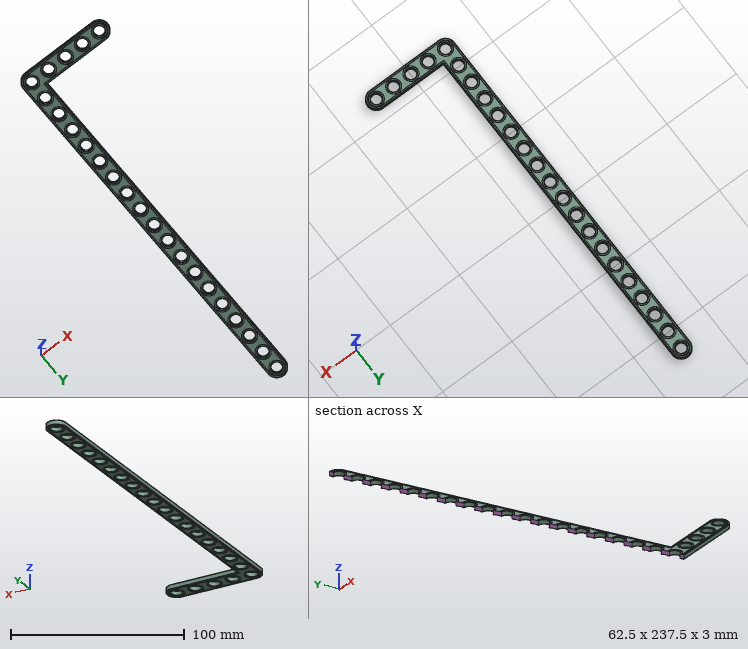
import cadquery as cq

total_length = 237.5
long_leg_holes = 19
short_leg_holes = 5
thickness = 3.0
hole_diameter = 7.0
collar_diameter = 9.3
rim_width = 1.2
recess_depth = 0.12
edge_chamfer = 0.3

pitch = total_length / long_leg_holes
half_width = pitch / 2

long_leg = [(0, i * pitch) for i in range(long_leg_holes)]
short_leg = [(i * pitch, 0) for i in range(1, short_leg_holes)]
hole_centres = long_leg + short_leg


def round_ended_l(inset, height):
    """L-shaped plate with round ends and outer corner, its outline moved inwards by inset."""
    radius = half_width - inset
    diagonal = radius * 0.5**0.5
    x_end, _ = short_leg[-1]
    _, y_end = long_leg[-1]
    return (
        cq.Workplane("XY")
        .moveTo(0, -radius)
        .lineTo(x_end, -radius)
        .threePointArc((x_end + radius, 0), (x_end, radius))
        .lineTo(radius, radius)
        .lineTo(radius, y_end)
        .threePointArc((0, y_end + radius), (-radius, y_end))
        .lineTo(-radius, 0)
        .threePointArc((-diagonal, -diagonal), (0, -radius))
        .close()
        .extrude(height)
    )


def cylinders(diameter, height):
    """One cylinder standing at every hole centre."""
    return cq.Workplane("XY").pushPoints(hole_centres).circle(diameter / 2).extrude(height)


result = round_ended_l(0, thickness).cut(cylinders(hole_diameter, thickness))
result = result.faces("<Z or >Z").edges().chamfer(edge_chamfer)

recess = round_ended_l(rim_width, recess_depth).cut(cylinders(collar_diameter, recess_depth))
for recess_bottom in (0, thickness - recess_depth):
    result = result.cut(recess.translate((0, 0, recess_bottom)))